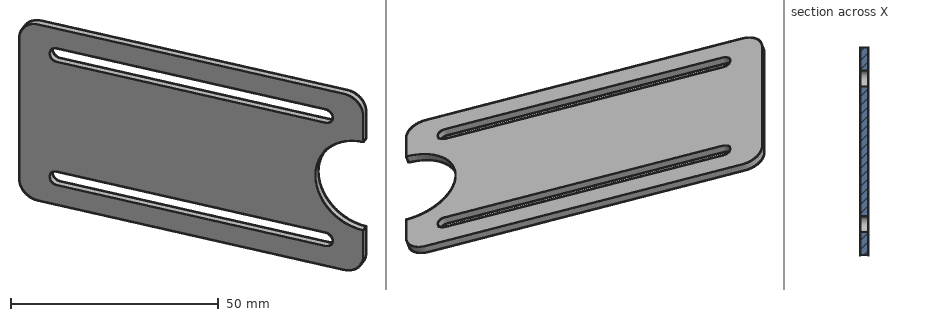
import cadquery as cq

length = 90.0
height = 50.0
thickness = 2.0
corner_radius = 5.0

slot_length = 74.0
slot_width = 3.8
slot_spacing = 35.0

notch_radius = 12.5


def centred_extrusion(sketch):
    """Extrude an XZ sketch through the plate thickness, centred on Y = 0."""
    return sketch.extrude(thickness / 2, both=True)


plate = centred_extrusion(cq.Workplane("XZ").rect(length, height))
plate = plate.edges("|Y").fillet(corner_radius)

slots = centred_extrusion(
    cq.Workplane("XZ")
    .pushPoints([(0, -slot_spacing / 2), (0, slot_spacing / 2)])
    .slot2D(slot_length, slot_width)
)

notch = centred_extrusion(cq.Workplane("XZ").center(length / 2, 0).circle(notch_radius))

result = plate.cut(slots).cut(notch)